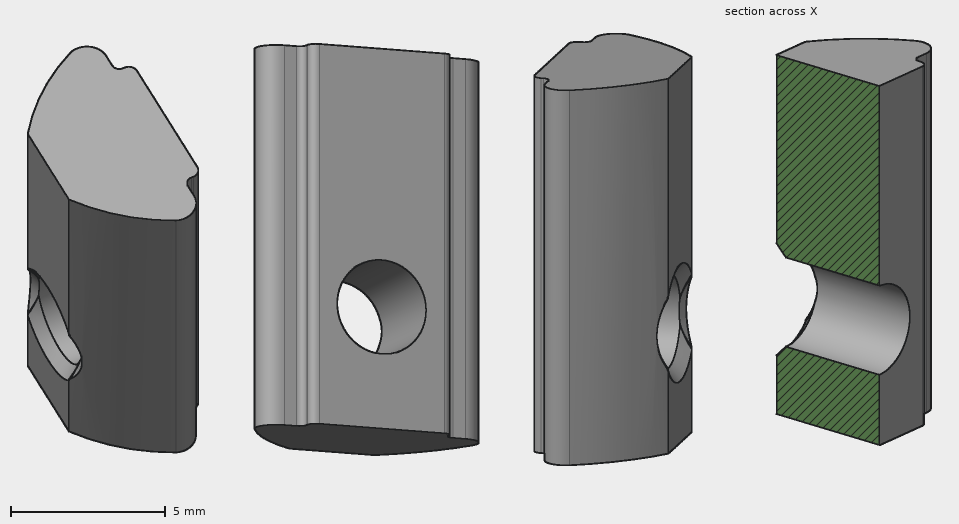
import cadquery as cq
import math

width = 7.7
depth = 4.3
length = 12.5

rail_width = 4.94
rail_height = 0.62
rail_top_radius = 0.3
rail_root_radius = 0.25

shoulder_radius = 0.7
shoulder_end_angle = math.radians(23)
front_flat_width = 2.97
flank_radius = 7.2

hole_diameter = 3.09
hole_height = 4.0
hole_chamfer = 0.4

half_rail = rail_width / 2
half_flat = front_flat_width / 2
shoulder_y = depth - rail_height
shoulder_x = width / 2 - shoulder_radius
shoulder_center_y = shoulder_y - shoulder_radius


def shoulder_point(angle):
    """Point on the right shoulder arc, with the angle measured from +X."""
    return (
        shoulder_x + shoulder_radius * math.cos(angle),
        shoulder_center_y + shoulder_radius * math.sin(angle),
    )


def mirrored(point):
    return (-point[0], point[1])


def make_body():
    flank_start = shoulder_point(-shoulder_end_angle)
    shoulder_middle = shoulder_point((math.pi / 2 - shoulder_end_angle) / 2)
    body = (
        cq.Workplane("XY")
        .moveTo(-half_flat, 0)
        .lineTo(half_flat, 0)
        .radiusArc(flank_start, -flank_radius)
        .threePointArc(shoulder_middle, (shoulder_x, shoulder_y))
        .lineTo(half_rail, shoulder_y)
        .lineTo(half_rail, depth)
        .lineTo(-half_rail, depth)
        .lineTo(-half_rail, shoulder_y)
        .lineTo(-shoulder_x, shoulder_y)
        .threePointArc(mirrored(shoulder_middle), mirrored(flank_start))
        .radiusArc((-half_flat, 0), -flank_radius)
        .close()
        .extrude(length)
    )
    body = round_rail_edges(body, depth, rail_top_radius)
    return round_rail_edges(body, shoulder_y, rail_root_radius)


def round_rail_edges(body, edge_y, radius):
    """Fillet the two vertical rail edges lying at the given Y."""
    for edge_x in (-half_rail, half_rail):
        nearest = cq.selectors.NearestToPointSelector((edge_x, edge_y, length / 2))
        body = body.edges("|Z").edges(nearest).fillet(radius)
    return body


def hole_cylinder(front_y):
    """Bore cylinder from the given Y to the +Y face; its seam lies toward -X."""
    plane = cq.Plane(origin=(0, front_y, hole_height), xDir=(-1, 0, 0), normal=(0, 1, 0))
    return cq.Workplane(plane).circle(hole_diameter / 2).extrude(depth - front_y)


def drill_hole(body):
    return body.cut(hole_cylinder(0))


def flank_axis():
    """Center of the right flank arc, found from its two end points and its radius."""
    start_x, start_y = shoulder_point(-shoulder_end_angle)
    chord_x = start_x - half_flat
    chord = math.hypot(chord_x, start_y)
    offset = math.sqrt(flank_radius**2 - (chord / 2) ** 2)
    center_x = half_flat + chord_x / 2 - offset * start_y / chord
    center_y = start_y / 2 + offset * chord_x / chord
    return center_x, center_y


def flat_chamfer():
    """Conical cut at the hole mouth, kept within the width of the front flat."""
    hole_radius = hole_diameter / 2
    cone = cq.Workplane(
        cq.Solid.makeCone(
            hole_radius + hole_chamfer,
            hole_radius,
            hole_chamfer,
            pnt=cq.Vector(0, 0, hole_height),
            dir=cq.Vector(0, 1, 0),
        )
    )
    band = cq.Workplane("XY").box(front_flat_width, depth, length, centered=(True, True, False))
    return cone.intersect(band)


def flank_chamfer():
    """Cut for the right flank: the chamfer the hole would get on the full flank cylinder."""
    center_x, center_y = flank_axis()
    cylinder = cq.Workplane("XY").center(center_x, center_y).circle(flank_radius).extrude(length)
    drilled = cylinder.cut(hole_cylinder(-flank_radius))
    mouth = cq.selectors.BoxSelector((-half_rail, -depth, 0), (half_rail, depth / 2, length))
    chamfered = drilled.edges(mouth).chamfer(hole_chamfer)
    flank_side = cq.Workplane("XY", origin=(half_flat, 0, 0)).box(
        width, width, length, centered=(False, True, False)
    )
    return drilled.cut(chamfered).intersect(flank_side)


def chamfer_hole_mouth(body):
    """Chamfer the hole edge where it meets the front flat and both flanks."""
    right_cut = flank_chamfer()
    return body.cut(flat_chamfer()).cut(right_cut).cut(right_cut.mirror("YZ"))


result = chamfer_hole_mouth(drill_hole(make_body()))